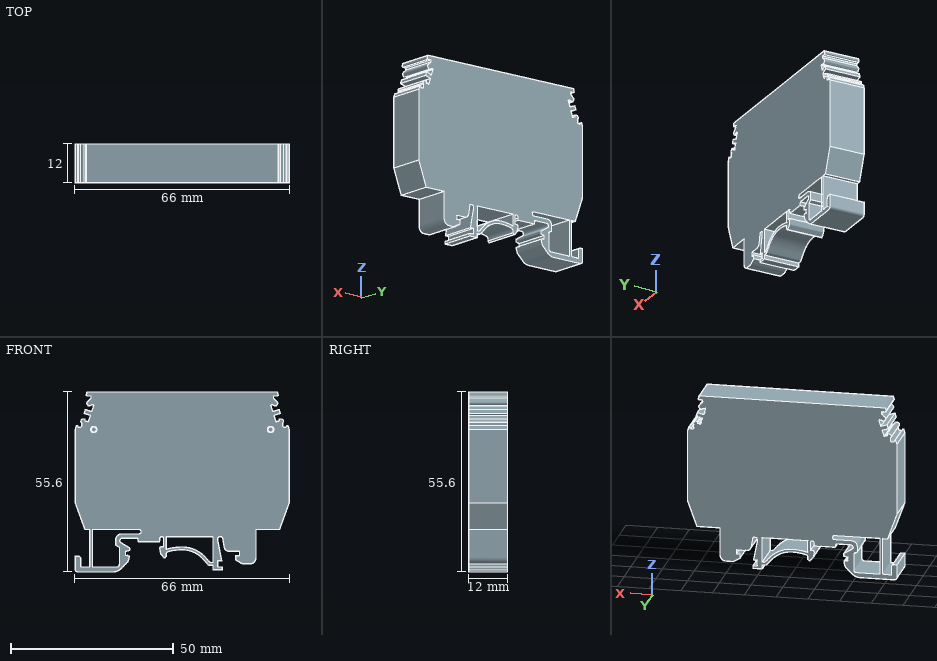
import cadquery as cq
import math

length = 66.0
width = 12.0
height = 55.6
half_length = length / 2

housing_bottom = 13.15
overlap_top = 16.5
taper_top = 21.3
shoulder_top = 44.0
rail_seat = 9.3
spring_roof = 10.9
foot_floor = 1.6

bottom_half_length = 30.0
top_half_length = 29.4
notch_top = (27.3, 51.35)
notch_bottom = (29.0, 46.3)
bump_top = 45.2
groove_floor = 44.7
groove_wall = 31.0
lower_tooth_tip = 31.3
lower_tooth_root = 29.9
lower_tooth_top = 47.25
end_tip = 29.65
lip_root = 28.2
lip_bottom = 54.25
rib_root_height = 48.9
rib_thickness = 1.3
rib_reach = 2.05
rib_embedded = 0.65

ring_diameter = 2.0
ring_core_diameter = 1.6
ring_depth = 0.1
ring_spacing = 54.5
ring_height = 43.95

web_left = -28.5
web_right = -27.6
hook_top = 4.95
hook_inner = -31.2
foot_inner_wall = -19.4
arm_left = -20.5
arm_top = 11.8
arm_bottom = 10.4
relief_end = -12.75
rail_seat_left = -13.5
rail_groove = -17.4
foot_nose = -16.2
relief_radius = 0.6
slot_radius = 0.45

rail_seat_right = -7.05
rail_slot_left = -6.85
spring_web_left = -5.8
spring_web_right = -4.9
knob_top = 7.85
latch_left = 9.45
latch_right = 11.0
latch_bottom = 0.7
latch_toe = 12.4
latch_toe_top = 1.6
latch_catch = 3.4
spring_thickness = 0.9
spring_crown_height = 7.8
spring_left_radius = 17.8
spring_right_radius = 9.6
spring_left_angle = 17.0
spring_slope_angle = 48.0
spring_end_top = 3.0
spring_root_radius = 0.8
spring_knee_radius = 0.85

jaw_right = 22.8
jaw_bottom = 2.5
jaw_ledge = 6.4
jaw_lip = 16.45
jaw_lip_top = 5.1
jaw_notch = 17.6


def rounded_outline(corners):
    """Closed XZ outline from (x, z) or (x, z, radius) corners."""
    stretches = []
    count = len(corners)
    for index, corner in enumerate(corners):
        point = cq.Vector(corner[0], corner[1])
        radius = corner[2] if len(corner) > 2 else 0
        if radius == 0:
            stretches.append((point,))
            continue
        before = corners[index - 1]
        after = corners[(index + 1) % count]
        to_before = (cq.Vector(before[0], before[1]) - point).normalized()
        to_after = (cq.Vector(after[0], after[1]) - point).normalized()
        half_angle = to_before.getAngle(to_after) / 2
        setback = radius / math.tan(half_angle)
        bulge = radius / math.sin(half_angle) - radius
        middle = point + (to_before + to_after).normalized() * bulge
        stretches.append((point + to_before * setback, middle, point + to_after * setback))

    sketch = cq.Workplane("XZ").moveTo(stretches[0][-1].x, stretches[0][-1].y)
    for stretch in stretches[1:] + stretches[:1]:
        sketch = sketch.lineTo(stretch[0].x, stretch[0].y)
        if len(stretch) > 1:
            sketch = sketch.threePointArc(stretch[1].toTuple()[:2], stretch[2].toTuple()[:2])
    return sketch.close()


def prism(corners):
    """Full-width prism; the front face lies at Y = 0."""
    return rounded_outline(corners).extrude(-width)


def fillet_edge(body, x, z, radius):
    """Fillet the full-width edge that passes through (x, z)."""
    edge = cq.selectors.NearestToPointSelector((x, width / 2, z))
    return body.edges("|Y").edges(edge).fillet(radius)


def housing_half():
    """Right half of the housing with its notched end."""
    return prism([
        (0, housing_bottom),
        (bottom_half_length, housing_bottom),
        (half_length, taper_top),
        (half_length, shoulder_top),
        (32.6, bump_top, 0.1),
        (32.35, bump_top),
        (31.95, groove_floor),
        (groove_wall, groove_floor, 0.4),
        (groove_wall, 46.1),
        (lower_tooth_tip, 46.3),
        (lower_tooth_tip, lower_tooth_top, 0.85),
        (lower_tooth_root, lower_tooth_top),
        (lower_tooth_root, 46.6),
        (29.4, 46.5),
        notch_bottom,
        notch_top,
        (27.45, 51.6),
        (28.05, 51.5),
        (28.4, 51.3),
        (29.0, 51.2, 0.2),
        (end_tip, 52.15, 0.6),
        (lip_root, 53.6),
        (lip_root, lip_bottom),
        (29.3, lip_bottom),
        (end_tip, 54.5, 0.1),
        (top_half_length, height, 0.2),
        (0, height),
    ])


def gripping_rib():
    """Flat rib standing square on the sloping notch floor."""
    slope = math.atan2(notch_bottom[0] - notch_top[0], notch_top[1] - notch_bottom[1])
    root_x = notch_top[0] + (notch_top[1] - rib_root_height) * math.tan(slope)
    rib_length = rib_reach + rib_embedded
    rib = cq.Workplane("XY").box(rib_length, width, rib_thickness, centered=(False, False, True))
    rib = rib.translate((-rib_embedded, 0, 0))
    rib = rib.rotate((0, 0, 0), (0, 1, 0), -math.degrees(slope))
    return rib.translate((root_x, 0, rib_root_height))


def ring_marks():
    """Shallow ring grooves in the front face."""
    return (
        cq.Workplane("XZ")
        .pushPoints([(-ring_spacing / 2, ring_height), (ring_spacing / 2, ring_height)])
        .circle(ring_diameter / 2)
        .circle(ring_core_diameter / 2)
        .extrude(-ring_depth)
    )


def fixed_foot():
    """Hooked foot with its web and arm, the left rail seat and the web above the knob."""
    return prism([
        (-half_length, 0, 0.9),
        (-19.9, 0, 3.6),
        (-16.75, 3.1, 0.5),
        (-16.45, 3.95),
        (-16.25, 4.9, 0.05),
        (-16.9, 5.2),
        (rail_groove, 5.15),
        (rail_groove, 6.35),
        (foot_nose, 6.65, 0.1),
        (foot_nose, 7.45, 0.25),
        (-21.05, arm_bottom, 0.7),
        (-13.8, arm_bottom),
        (rail_seat_left, rail_seat),
        (rail_seat_right, rail_seat),
        (rail_slot_left, 9.9),
        (rail_slot_left, spring_roof, slot_radius),
        (spring_web_left, spring_roof, slot_radius),
        (spring_web_left, knob_top),
        (spring_web_right, knob_top),
        (spring_web_right, overlap_top),
        (arm_left, overlap_top),
        (arm_left, housing_bottom),
        (relief_end, housing_bottom, relief_radius),
        (relief_end, arm_top, relief_radius),
        (arm_left, arm_top, 1.85),
        (arm_left, 8.3),
        (foot_inner_wall, 7.6),
        (foot_inner_wall, foot_floor, 0.8),
        (web_right, foot_floor),
        (web_right, housing_bottom),
        (web_left, housing_bottom),
        (web_left, foot_floor, 0.3),
        (hook_inner, foot_floor),
        (hook_inner, hook_top, 0.85),
        (-half_length, hook_top),
    ])


def latch_and_jaw():
    """Latch leg, its slot and the jaw beside it, joined below the housing."""
    return prism([
        (spring_web_right, spring_roof),
        (latch_left, spring_roof),
        (latch_left, latch_bottom),
        (latch_toe, latch_bottom),
        (latch_toe, latch_toe_top),
        (latch_right, latch_toe_top),
        (latch_right, latch_catch),
        (12.2, latch_catch),
        (latch_right, 9.6),
        (latch_right, spring_roof, slot_radius),
        (12.35, spring_roof, slot_radius),
        (13.15, jaw_ledge, 1.5),
        (jaw_notch, jaw_ledge),
        (jaw_notch, jaw_lip_top),
        (jaw_lip, jaw_lip_top, 0.1),
        (jaw_lip, 3.75),
        (18.55, jaw_bottom, 1.0),
        (jaw_right, jaw_bottom, 1.9),
        (jaw_right, housing_bottom),
        (spring_web_right, housing_bottom),
    ])


def spring_knob():
    """Pointed knob at the lower end of the thin web."""
    return prism([
        (spring_web_right, knob_top),
        (-7.05, knob_top, 0.5),
        (-6.65, 5.6, 0.65),
        (-5.5, 4.3, 0.25),
        (spring_web_right, 4.9),
    ])


def bow_point(face_radius, depth, angle):
    """Point at a depth below the bow's upper face, at an angle from vertical, positive to the right."""
    turn = math.radians(angle)
    radius = face_radius - depth
    center_height = spring_crown_height - face_radius
    return (radius * math.sin(turn), center_height + radius * math.cos(turn))


def bow_spring():
    """Bowed leaf of two tangent arcs, a straight flank and a level end."""
    def left_point(depth, angle):
        return bow_point(spring_left_radius, depth, -angle)

    def right_point(depth, angle):
        return bow_point(spring_right_radius, depth, angle)

    upper_end = right_point(0, spring_slope_angle)
    lower_end = right_point(spring_thickness, spring_slope_angle)
    lower_level = spring_end_top - spring_thickness
    flank_slope = math.tan(math.radians(spring_slope_angle))
    upper_knee = upper_end[0] + (upper_end[1] - spring_end_top) / flank_slope
    lower_knee = lower_end[0] + (lower_end[1] - lower_level) / flank_slope
    leaf = (
        cq.Workplane("XZ")
        .moveTo(*left_point(0, spring_left_angle))
        .threePointArc(left_point(0, spring_left_angle / 2), left_point(0, 0))
        .threePointArc(right_point(0, spring_slope_angle / 2), upper_end)
        .lineTo(upper_knee, spring_end_top)
        .lineTo(latch_left, spring_end_top)
        .lineTo(latch_left, lower_level)
        .lineTo(lower_knee, lower_level)
        .lineTo(*lower_end)
        .threePointArc(
            right_point(spring_thickness, spring_slope_angle / 2),
            right_point(spring_thickness, 0),
        )
        .threePointArc(
            left_point(spring_thickness, spring_left_angle / 2),
            left_point(spring_thickness, spring_left_angle),
        )
        .close()
        .extrude(-width)
    )
    leaf = fillet_edge(leaf, upper_knee, spring_end_top, spring_knee_radius)
    return fillet_edge(leaf, lower_knee, lower_level, spring_knee_radius)


def spring_latch():
    """Knob and bow, with the lower root of the bow blended into the knob."""
    latch = spring_knob().union(bow_spring())
    lower_radius = spring_left_radius - spring_thickness
    root_angle = math.degrees(math.asin(spring_web_right / lower_radius))
    root = bow_point(spring_left_radius, spring_thickness, root_angle)
    return fillet_edge(latch, *root, spring_root_radius)


right_half = housing_half().union(gripping_rib())
housing = right_half.union(right_half.mirror("YZ"))
result = housing.union(fixed_foot()).union(latch_and_jaw()).union(spring_latch())
result = result.cut(ring_marks()).clean()